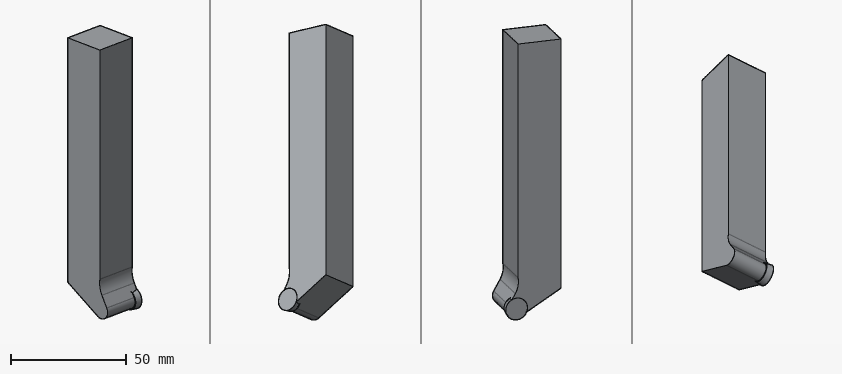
import cadquery as cq
import math

tool_length = 126.4
tool_reach = 25.4
shank_width = 19.7
shank_depth = 19.8
insert_diameter = 10.0
insert_thickness = 3.3
insert_relief_angle = 7.0
insert_projection = 0.1
nose_radius = 4.0
heel_angle = 30.0
neck_angle = 60.0
neck_radius = 10.6
neck_end_x = 21.0

insert_radius = insert_diameter / 2
insert_back_radius = insert_radius - insert_thickness * math.tan(math.radians(insert_relief_angle))
nose_x = tool_reach - insert_radius
nose_z = insert_radius
insert_face_y = shank_depth + insert_projection
insert_seat_y = insert_face_y - insert_thickness


def polar(center_x, center_z, radius, degrees):
    """Point at the given angle on a circle in the XZ plane."""
    angle = math.radians(degrees)
    return center_x + radius * math.cos(angle), center_z + radius * math.sin(angle)


def make_insert():
    """Round insert, widest at its cutting face on +Y, tapering to its seat."""
    cone = cq.Solid.makeCone(
        insert_back_radius, insert_radius, insert_thickness,
        pnt=cq.Vector(nose_x, insert_seat_y, nose_z), dir=cq.Vector(0, 1, 0),
    )
    return cq.Workplane(obj=cone)


def make_holder(insert):
    """Square shank with an angled, round-nosed head and a seat for the insert."""
    heel_normal = -90 - heel_angle
    neck_normal = 90 - neck_angle
    heel_tangent = polar(nose_x, nose_z, nose_radius, heel_normal)
    nose_middle = polar(nose_x, nose_z, nose_radius, (heel_normal + neck_normal) / 2)
    neck_tangent = polar(nose_x, nose_z, nose_radius, neck_normal)
    heel_z = heel_tangent[1] + heel_tangent[0] * math.tan(math.radians(heel_angle))

    neck_end_z = neck_tangent[1] + (neck_tangent[0] - neck_end_x) * math.tan(math.radians(neck_angle))
    neck_center = polar(neck_end_x, neck_end_z, neck_radius, neck_normal)
    neck_half_chord = math.sqrt(neck_radius**2 - (neck_center[0] - shank_width) ** 2)
    neck_start = (shank_width, neck_center[1] + neck_half_chord)
    neck_middle = (neck_center[0] - neck_radius, neck_center[1])

    blank = (
        cq.Workplane("XZ")
        .moveTo(0, tool_length)
        .lineTo(0, heel_z)
        .lineTo(*heel_tangent)
        .threePointArc(nose_middle, neck_tangent)
        .lineTo(neck_end_x, neck_end_z)
        .threePointArc(neck_middle, neck_start)
        .lineTo(shank_width, tool_length)
        .close()
        .extrude(-shank_depth)
    )
    return blank.cut(insert).solids()


insert = make_insert()
holder = make_holder(insert)

result = cq.Compound.makeCompound([holder.val(), insert.val()])